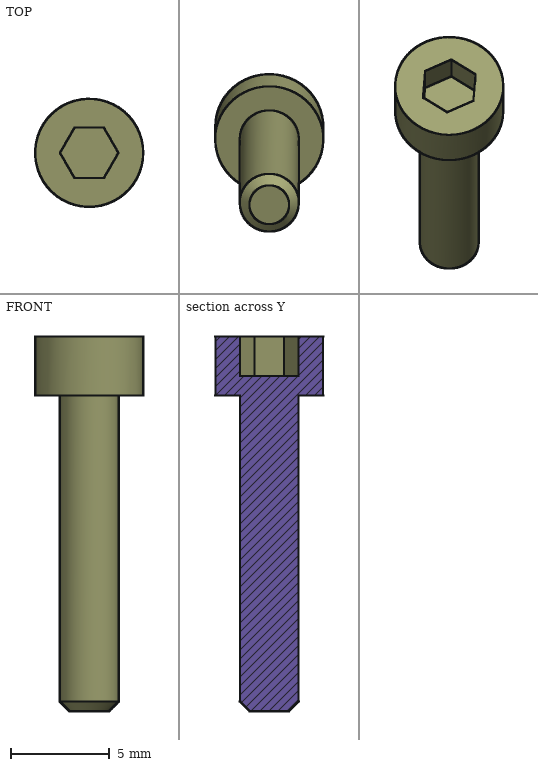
import cadquery as cq
import math

total_length = 19.0
head_diameter = 5.5
shank_diameter = 3.0
head_height = shank_diameter
tip_chamfer = 0.5
socket_across_flats = 2.56
socket_depth = 2.0

shank_length = total_length - head_height
socket_across_corners = socket_across_flats / math.cos(math.pi / 6)

shank = (
    cq.Workplane("XY")
    .circle(shank_diameter / 2)
    .extrude(-shank_length)
    .faces("<Z")
    .chamfer(tip_chamfer)
)

head = cq.Workplane("XY").circle(head_diameter / 2).extrude(head_height)

socket = (
    cq.Workplane("XY", origin=(0, 0, head_height - socket_depth))
    .polygon(6, socket_across_corners)
    .extrude(socket_depth)
)

result = head.union(shank).cut(socket)